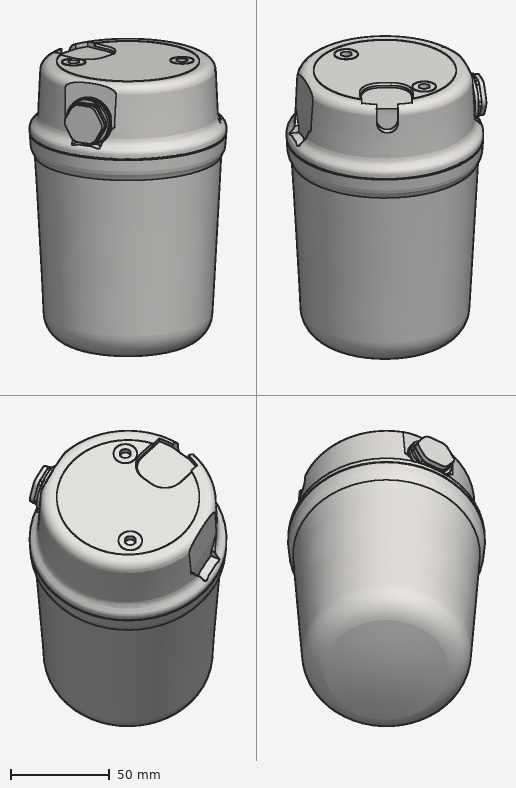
import cadquery as cq
import math

RIM_RADIUS = 50.0
CUP_TOP = 112.2
COLLAR_FOOT_RADIUS = 49.5
COLLAR_FOOT_Z = 106.0
STEP_RADIUS = 49.0
STEP_Z = 104.1
NECK_RADIUS = 48.3
NECK_Z = 102.8
WALL_TOP_RADIUS = 47.4
WALL_TOP_Z = 100.8
WALL_FOOT_RADIUS = 42.9
WALL_FOOT_Z = 17.1
BASE_FILLET = 15.3
DOME_RADIUS = 31.5
DOME_HEIGHT = 3.2

LID_TOP = 150.0
LID_BOTTOM = 112.8
SPIGOT_RADIUS = 45.0
SHOULDER_Z = 114.8
FLARE_FOOT_RADIUS = 49.2
FLARE_FOOT_Z = 116.8
FLARE_TOP_RADIUS = 47.2
FLARE_TOP_Z = 118.8
SHOULDER_FILLET = 3.2
FLARE_FILLET = 5.4
LID_FOOT_RADIUS = 45.6
LID_FOOT_Z = 122.2
LID_SHOULDER_RADIUS = 44.5
LID_SHOULDER_Z = 145.4
LID_FLAT_RADIUS = 39.6
LID_FILLET = 5.4

SEAL_RADIUS = 48.8

PORT_Z = 129.8
PORT_FACE_Y = 43.0
PORT_DRAFT = 3.3
PORT_RECESS_RADIUS = 12.5
PORT_ARC_START = 15.0
PORT_SIDE_X = 14.1
PORT_SIDE_DROP = 1.5
PORT_NOTCH_TOP_X = 8.5
PORT_NOTCH_X = 7.8
PORT_FLOOR_Z = 117.3
PORT_CROWN_FOOT_X = 6.6
PORT_CROWN_X = 3.6
PORT_CROWN_HEIGHT = 0.6
CLEAR = 30.0

WASHER_RADIUS = 12.2
WASHER_SEAT_Y = 42.3
WASHER_THICKNESS = 1.8
FLANGE_RADIUS = 11.8
FLANGE_THICKNESS = 2.0
HEX_FLATS = 20.0
HEX_CORNERS = 21.8
HEX_THICKNESS = 2.0
HEAD_FLATS = 19.5
HEAD_CORNER_FILLET = 4.5
HEAD_THICKNESS = 2.5

PLATE_RADIUS = 36.2
PLATE_TOP = 149.7
PLATE_BOTTOM = 148.5
OPENING_FLARE = 0.8
BUSHING_RADIUS = 6.0
BUSHING_BORE_RADIUS = 2.8
BUSHING_HEIGHT = 6.0
BUSHING_BORE_DEPTH = 3.0
BUSHING_PLACES = [(23.8, 13.5), (-23.8, -13.8)]

RECESS_TURN = 165.5
RECESS_HALF_WIDTH = 12.8
RECESS_INNER_END = 15.0
RECESS_CORNER_RADIUS = 10.0
RECESS_OUTER_RADIUS = 40.4
RECESS_FLOOR_Z = 147.3
SCOOP_RADIUS = 5.4
SCOOP_CENTRE_Z = 141.6
SCOOP_WALL_FLARE = 0.9


def make_cup():
    """Solid of revolution for the bowl."""
    dome_sphere = (DOME_RADIUS**2 + DOME_HEIGHT**2) / (2 * DOME_HEIGHT)
    return (
        cq.Workplane("XZ")
        .moveTo(0, 0)
        .radiusArc((DOME_RADIUS, DOME_HEIGHT), -dome_sphere)
        .radiusArc((WALL_FOOT_RADIUS, WALL_FOOT_Z), -BASE_FILLET)
        .lineTo(WALL_TOP_RADIUS, WALL_TOP_Z)
        .lineTo(NECK_RADIUS, NECK_Z)
        .lineTo(STEP_RADIUS, STEP_Z)
        .lineTo(COLLAR_FOOT_RADIUS, COLLAR_FOOT_Z)
        .lineTo(RIM_RADIUS, CUP_TOP)
        .lineTo(0, CUP_TOP)
        .close()
        .revolve(360, (0, 0, 0), (0, 1, 0))
    )


def make_lid_blank():
    """Solid of revolution for the lid, with a spigot standing on the cup."""
    return (
        cq.Workplane("XZ")
        .moveTo(0, CUP_TOP)
        .lineTo(SPIGOT_RADIUS, CUP_TOP)
        .lineTo(SPIGOT_RADIUS, LID_BOTTOM)
        .lineTo(RIM_RADIUS, LID_BOTTOM)
        .lineTo(RIM_RADIUS, SHOULDER_Z)
        .radiusArc((FLARE_FOOT_RADIUS, FLARE_FOOT_Z), -SHOULDER_FILLET)
        .lineTo(FLARE_TOP_RADIUS, FLARE_TOP_Z)
        .radiusArc((LID_FOOT_RADIUS, LID_FOOT_Z), FLARE_FILLET)
        .lineTo(LID_SHOULDER_RADIUS, LID_SHOULDER_Z)
        .radiusArc((LID_FLAT_RADIUS, LID_TOP), -LID_FILLET)
        .lineTo(0, LID_TOP)
        .close()
        .revolve(360, (0, 0, 0), (0, 1, 0))
    )


def port_cutter():
    """Material removed for one port: a drafted flat above the axis, a round-bottomed recess below."""
    flat_height = LID_TOP + 1.5 - PORT_Z
    draft_shift = flat_height * math.tan(math.radians(PORT_DRAFT))
    flat = (
        cq.Workplane("YZ")
        .moveTo(-PORT_FACE_Y, PORT_Z)
        .lineTo(-PORT_FACE_Y + draft_shift, PORT_Z + flat_height)
        .lineTo(-PORT_FACE_Y - CLEAR, PORT_Z + flat_height)
        .lineTo(-PORT_FACE_Y - CLEAR, PORT_Z)
        .close()
        .extrude(CLEAR, both=True)
    )
    arc_start = math.radians(PORT_ARC_START)
    arc_start_x = PORT_RECESS_RADIUS * math.cos(arc_start)
    arc_start_z = PORT_Z - PORT_RECESS_RADIUS * math.sin(arc_start)
    arc_end_z = PORT_Z - math.sqrt(PORT_RECESS_RADIUS**2 - PORT_NOTCH_TOP_X**2)
    crown_z = PORT_FLOOR_Z + PORT_CROWN_HEIGHT
    recess = (
        cq.Workplane("XZ", origin=(0, -PORT_FACE_Y, 0))
        .moveTo(-PORT_SIDE_X, PORT_Z)
        .lineTo(-PORT_SIDE_X, PORT_Z - PORT_SIDE_DROP)
        .lineTo(-arc_start_x, arc_start_z)
        .radiusArc((-PORT_NOTCH_TOP_X, arc_end_z), -PORT_RECESS_RADIUS)
        .lineTo(-PORT_NOTCH_X, PORT_FLOOR_Z)
        .lineTo(-PORT_CROWN_FOOT_X, PORT_FLOOR_Z)
        .lineTo(-PORT_CROWN_X, crown_z)
        .lineTo(PORT_CROWN_X, crown_z)
        .lineTo(PORT_CROWN_FOOT_X, PORT_FLOOR_Z)
        .lineTo(PORT_NOTCH_X, PORT_FLOOR_Z)
        .lineTo(PORT_NOTCH_TOP_X, arc_end_z)
        .radiusArc((arc_start_x, arc_start_z), -PORT_RECESS_RADIUS)
        .lineTo(PORT_SIDE_X, PORT_Z - PORT_SIDE_DROP)
        .lineTo(PORT_SIDE_X, PORT_Z)
        .close()
        .extrude(CLEAR)
    )
    return flat.union(recess)


def turn_to_recess(body):
    """Turn a body built along +X to the recess's direction about Z."""
    return body.rotate((0, 0, 0), (0, 0, 1), RECESS_TURN)


def recess_prism(bottom, top, flare_angle=0.0):
    """D-shaped prism with rounded inner corners, bounded outside by an arc about the lid's axis."""
    corner = math.sqrt(RECESS_OUTER_RADIUS**2 - RECESS_HALF_WIDTH**2)
    round_x = RECESS_INNER_END + RECESS_CORNER_RADIUS
    round_y = RECESS_HALF_WIDTH - RECESS_CORNER_RADIUS
    prism = (
        cq.Workplane("XY", origin=(0, 0, bottom))
        .moveTo(corner, RECESS_HALF_WIDTH)
        .lineTo(round_x, RECESS_HALF_WIDTH)
        .radiusArc((RECESS_INNER_END, round_y), -RECESS_CORNER_RADIUS)
        .lineTo(RECESS_INNER_END, -round_y)
        .radiusArc((round_x, -RECESS_HALF_WIDTH), -RECESS_CORNER_RADIUS)
        .lineTo(corner, -RECESS_HALF_WIDTH)
        .threePointArc((RECESS_OUTER_RADIUS, 0), (corner, RECESS_HALF_WIDTH))
        .close()
        .extrude(top - bottom, taper=-flare_angle)
    )
    return turn_to_recess(prism)


def scoop_cutter():
    """Round-bottomed finger scoop from the recess's outer edge out through the lid's side."""
    inner = math.sqrt(RECESS_OUTER_RADIUS**2 - SCOOP_RADIUS**2)
    outer = inner + CLEAR
    bottom = SCOOP_CENTRE_Z - SCOOP_RADIUS
    trough = (
        cq.Workplane("YZ", origin=(inner, 0, 0))
        .moveTo(-SCOOP_RADIUS, LID_TOP)
        .lineTo(-SCOOP_RADIUS, SCOOP_CENTRE_Z)
        .threePointArc((0, bottom), (SCOOP_RADIUS, SCOOP_CENTRE_Z))
        .lineTo(SCOOP_RADIUS, LID_TOP)
        .close()
        .extrude(CLEAR)
    )
    wall_height = RECESS_FLOOR_Z - bottom
    wall_radius = (wall_height**2 + SCOOP_WALL_FLARE**2) / (2 * SCOOP_WALL_FLARE)
    wall_profile = (
        cq.Workplane("XZ")
        .moveTo(inner, LID_TOP)
        .lineTo(inner, RECESS_FLOOR_Z)
        .radiusArc((inner + SCOOP_WALL_FLARE, bottom), -wall_radius)
        .lineTo(outer, bottom)
        .lineTo(outer, LID_TOP)
        .close()
        .extrude(SCOOP_RADIUS, both=True)
    )
    return turn_to_recess(trough.intersect(wall_profile))


def disc_along_y(radius, start_y, thickness):
    """Cylinder on the port axis from start_y outwards, towards -Y."""
    return (
        cq.Workplane("XZ", origin=(0, -start_y, PORT_Z))
        .circle(radius)
        .extrude(thickness)
    )


def hexagon_along_y(flats, start_y, thickness):
    """Hexagonal prism on the port axis with flats at top and bottom."""
    return (
        cq.Workplane("XZ", origin=(0, -start_y, PORT_Z))
        .polygon(6, flats / math.cos(math.pi / 6))
        .extrude(thickness)
    )


def make_washer():
    return disc_along_y(WASHER_RADIUS, WASHER_SEAT_Y, WASHER_THICKNESS)


def make_plug():
    """Plug: round flange, hexagon with cut corners, and a head with rounded corners."""
    flange_y = WASHER_SEAT_Y + WASHER_THICKNESS
    hex_y = flange_y + FLANGE_THICKNESS
    head_y = hex_y + HEX_THICKNESS
    flange = disc_along_y(FLANGE_RADIUS, flange_y, FLANGE_THICKNESS)
    corner_cut = hexagon_along_y(HEX_CORNERS, hex_y, HEX_THICKNESS).rotate(
        (0, 0, PORT_Z), (0, 1, PORT_Z), 30
    )
    hexagon = hexagon_along_y(HEX_FLATS, hex_y, HEX_THICKNESS).intersect(corner_cut)
    head = hexagon_along_y(HEAD_FLATS, head_y, HEAD_THICKNESS).edges("|Y").fillet(HEAD_CORNER_FILLET)
    return flange.union(hexagon).union(head)


def bushing_blank(place):
    """Cylinder taken up by one bushing, flush with the lid's rim."""
    blank = cq.Workplane("XY").circle(BUSHING_RADIUS).extrude(-BUSHING_HEIGHT)
    return blank.translate((place[0], place[1], LID_TOP))


def make_bushing(place):
    """Round bushing with a blind bore."""
    bore = cq.Workplane("XY").circle(BUSHING_BORE_RADIUS).extrude(-BUSHING_BORE_DEPTH)
    return bushing_blank(place).cut(bore.translate((place[0], place[1], LID_TOP)))


def plate_opening():
    """D-shaped opening in the plate whose wall flares outwards to the top."""
    flare_angle = math.degrees(math.atan(OPENING_FLARE / (PLATE_TOP - PLATE_BOTTOM)))
    return recess_prism(PLATE_BOTTOM, PLATE_TOP, flare_angle)


def make_plate():
    """Cover plate with the recess opening and the bushing holes."""
    plate = (
        cq.Workplane("XY", origin=(0, 0, PLATE_BOTTOM))
        .circle(PLATE_RADIUS)
        .extrude(PLATE_TOP - PLATE_BOTTOM)
        .cut(plate_opening())
    )
    for place in BUSHING_PLACES:
        plate = plate.cut(bushing_blank(place))
    return plate


def make_seal():
    """Flat ring around the lid's spigot, between the lid and the cup."""
    return (
        cq.Workplane("XY", origin=(0, 0, CUP_TOP))
        .circle(SEAL_RADIUS)
        .circle(SPIGOT_RADIUS)
        .extrude(LID_BOTTOM - CUP_TOP)
    )


def make_lid():
    """Lid with its ports, the seats for the washer, plate and bushings, and the scooped recess."""
    lid = make_lid_blank()
    for turn in (0, 180):
        lid = lid.cut(port_cutter().rotate((0, 0, 0), (0, 0, 1), turn))
    lid = lid.cut(make_washer())
    plate_seat = cq.Workplane("XY", origin=(0, 0, PLATE_BOTTOM)).circle(PLATE_RADIUS)
    lid = lid.cut(plate_seat.extrude(LID_TOP - PLATE_BOTTOM))
    for place in BUSHING_PLACES:
        lid = lid.cut(bushing_blank(place))
    return lid.cut(recess_prism(RECESS_FLOOR_Z, LID_TOP)).cut(scoop_cutter())


cup = make_cup()
lid = make_lid()
plate = make_plate()
seal = make_seal()
washer = make_washer()
plug = make_plug()
bushings = [make_bushing(place) for place in BUSHING_PLACES]

result = cq.Compound.makeCompound(
    [
        cup.val(),
        lid.val(),
        plate.val(),
        seal.val(),
        washer.val(),
        plug.val(),
        *[bushing.val() for bushing in bushings],
    ]
)